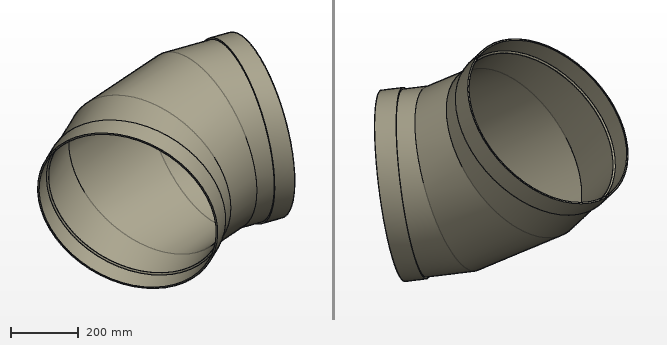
import cadquery as cq
import math

pipe_outer_d = 560
wall = 5
bend_radius = 560
bend_angle = 45
bend_steps = 2
collar_length = 65

pipe_inner_d = pipe_outer_d - 2 * wall
socket_d = pipe_outer_d
collar_outer_d = socket_d + 2 * wall
lip_radius = (socket_d - pipe_inner_d) / 2
step_angle = math.radians(bend_angle / bend_steps)
half_segment = bend_radius * math.tan(step_angle / 2)


def bend_centreline():
    """Points of the elbow centreline: inlet, mitre joints, outlet."""
    x = 0
    y = collar_length
    points = [(x, y)]
    for segment in range(bend_steps + 1):
        is_end_segment = segment in (0, bend_steps)
        length = half_segment if is_end_segment else 2 * half_segment
        angle = segment * step_angle
        x += length * math.sin(angle)
        y += length * math.cos(angle)
        points.append((x, y))
    return points


def mitred_elbow(points):
    """Thin-walled round pipe swept along the polyline with mitred corners."""
    path = cq.Workplane("XY").polyline(points)
    inlet = cq.Plane(origin=(*points[0], 0), xDir=(1, 0, 0), normal=(0, 1, 0))
    return (
        cq.Workplane(inlet)
        .circle(pipe_outer_d / 2)
        .circle(pipe_inner_d / 2)
        .sweep(path, transition="right")
    )


def collar(pipe_end, outward):
    """Socket ring butted against the pipe end, with a rounded lip between pipe bore and socket bore."""
    outward_x, outward_y = outward
    section_plane = cq.Plane(
        origin=(*pipe_end, 0), xDir=(0, 0, 1), normal=(-outward_y, outward_x, 0)
    )
    lip_half_way = lip_radius * math.sqrt(0.5)
    lip_middle = (socket_d / 2 - lip_half_way, lip_half_way)
    return (
        cq.Workplane(section_plane)
        .moveTo(pipe_inner_d / 2, 0)
        .threePointArc(lip_middle, (socket_d / 2, lip_radius))
        .lineTo(socket_d / 2, collar_length)
        .lineTo(collar_outer_d / 2, collar_length)
        .lineTo(collar_outer_d / 2, 0)
        .close()
        .revolve(360, (0, 0), (0, 1))
    )


centreline = bend_centreline()
elbow = mitred_elbow(centreline)

outlet_angle = math.radians(bend_angle)
pipe_ends = [
    (centreline[0], (0, -1)),
    (centreline[-1], (math.sin(outlet_angle), math.cos(outlet_angle))),
]
collars = [collar(end, outward).val() for end, outward in pipe_ends]

result = cq.Compound.makeCompound([elbow.val(), *collars])